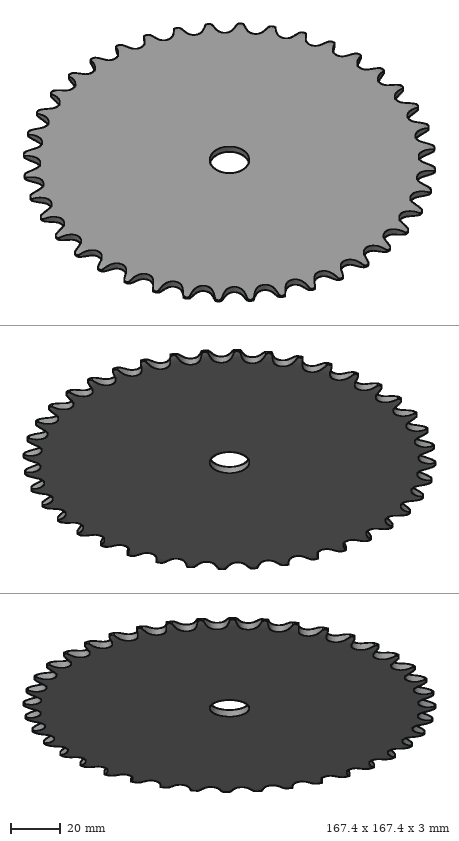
import cadquery as cq
import math


overall_size = 167.4
thickness = 3.0
bore_diameter = 16.0
tooth_count = 40

root_radius = 77.0
seat_radius = 3.9
seat_half_angle = 53.5
working_radius = 10.2
working_sweep = 16.6

crest_radius = 1.7
crest_half_width = 1.25

bevel_start_radius = 79.0
bevel_curve_radius = 11.4
rim_clearance = 0.2

half_pitch_angle = math.pi / tooth_count
pitch_angle = 2 * half_pitch_angle
crest_centre_radius = (overall_size / 2 - crest_radius) / math.cos(half_pitch_angle)
tip_radius = crest_centre_radius + crest_radius
crest_corner_radius = crest_centre_radius + math.sqrt(crest_radius**2 - crest_half_width**2)


def turned_point(along, across, angle):
    """Point given along and across a radial line that stands at the given angle from +X."""
    x = along * math.cos(angle) - across * math.sin(angle)
    y = along * math.sin(angle) + across * math.cos(angle)
    return (x, y)


def point_on_arc(centre, radius, degrees):
    """Point of a gap arc, at an angle measured from the inward centreline of the gap."""
    angle = math.radians(degrees)
    return (centre[0] - radius * math.cos(angle), centre[1] + radius * math.sin(angle))


seat_centre = (root_radius + seat_radius, 0)
seat_end = point_on_arc(seat_centre, seat_radius, seat_half_angle)
working_centre = point_on_arc(seat_centre, seat_radius - working_radius, seat_half_angle)
working_middle = point_on_arc(working_centre, working_radius, seat_half_angle + working_sweep / 2)
working_end = point_on_arc(working_centre, working_radius, seat_half_angle + working_sweep)
flank_top = turned_point(crest_corner_radius, -crest_half_width, half_pitch_angle)


def add_gap_and_tooth(outline, gap_angle):
    """Add one gap, from flank to flank, and the crest of the tooth that follows it."""
    def near_side(point):
        return turned_point(point[0], -point[1], gap_angle)

    def far_side(point):
        return turned_point(point[0], point[1], gap_angle)

    tip = turned_point(tip_radius, 0, gap_angle + half_pitch_angle)
    next_flank_top = turned_point(flank_top[0], -flank_top[1], gap_angle + pitch_angle)
    return (
        outline
        .lineTo(*near_side(working_end))
        .threePointArc(near_side(working_middle), near_side(seat_end))
        .threePointArc(turned_point(root_radius, 0, gap_angle), far_side(seat_end))
        .threePointArc(far_side(working_middle), far_side(working_end))
        .lineTo(*far_side(flank_top))
        .threePointArc(tip, next_flank_top)
    )


def make_toothed_plate():
    outline = cq.Workplane("XY").moveTo(*turned_point(flank_top[0], -flank_top[1], 0))
    for gap in range(tooth_count):
        outline = add_gap_and_tooth(outline, gap * pitch_angle)
    return outline.close().extrude(thickness / 2, both=True)


def make_bevelled_disc():
    """Disc as large as the tips, thinned towards its rim by a curved bevel on both faces."""
    def bevel_half_thickness(radius):
        inset = radius - bevel_start_radius
        drop = bevel_curve_radius - math.sqrt(bevel_curve_radius**2 - inset**2)
        return thickness / 2 - drop

    rim_radius = tip_radius + rim_clearance
    middle_radius = (bevel_start_radius + rim_radius) / 2
    middle_z = bevel_half_thickness(middle_radius)
    rim_z = bevel_half_thickness(rim_radius)
    half_section = (
        cq.Workplane("XZ")
        .moveTo(0, -thickness / 2)
        .lineTo(bevel_start_radius, -thickness / 2)
        .threePointArc((middle_radius, -middle_z), (rim_radius, -rim_z))
        .lineTo(rim_radius, rim_z)
        .threePointArc((middle_radius, middle_z), (bevel_start_radius, thickness / 2))
        .lineTo(0, thickness / 2)
        .close()
    )
    return half_section.revolve(360, (0, 0, 0), (0, 1, 0))


def make_bore():
    return cq.Workplane("XY").circle(bore_diameter / 2).extrude(thickness, both=True)


result = make_toothed_plate().intersect(make_bevelled_disc()).cut(make_bore())